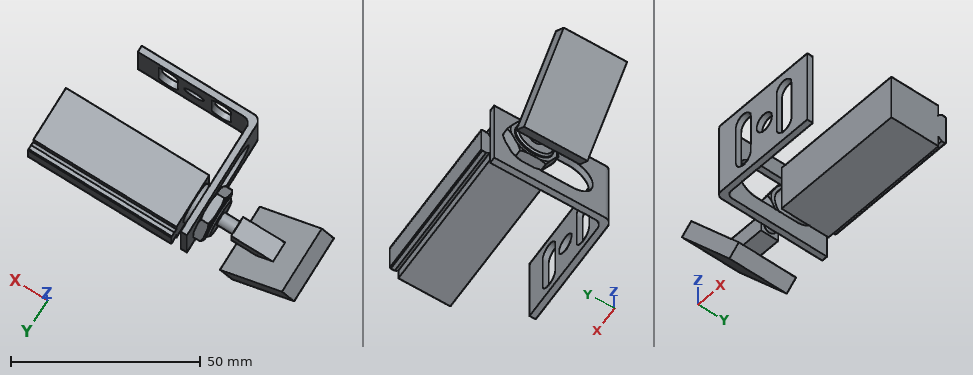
import cadquery as cq
import math


SHEET = 1.95
BRACKET_LEG = 37.0
BRACKET_HEIGHT = 25.0
BEND_RADIUS = SHEET
BRACKET_Y_MIN = -26.5
BRACKET_Y_MAX = BRACKET_Y_MIN + BRACKET_LEG
ADJUST_SLOT_WIDTH = 13.0
ADJUST_SLOT_TRAVEL = 14.0
SLOT_WIDTH = 6.0
SLOT_LENGTH = 19.0
SLOT_SPACING = 16.5
SLOT_PAIR_CENTRE_X = 19.3
ROUND_HOLE_DIAMETER = 6.1
ROUND_HOLE_X = 19.6

HOUSING_X_MIN = 4.0
HOUSING_X_MAX = 48.5
HOUSING_HEIGHT = 15.3
HOUSING_Y_MIN = -7.1
SHOULDER_Y = 9.3
RIB_Y = 12.0
RIB_HEIGHT = 9.95
RIB_CHAMFER = 0.3
GROOVE_WIDTH = 1.15
GROOVE_OUTER_ANGLE = 32
GROOVE_INNER_ANGLE = 45
BUSHING_DIAMETER = 12.0
BUSHING_X_MIN = -4.0
BUSHING_CHAMFER = 0.6

NUT_ACROSS_FLATS = 14.0
NUT_ACROSS_CORNERS = NUT_ACROSS_FLATS / math.cos(math.radians(30))
NUT_THICKNESS = 3.0
NUT_CHAMFER_WIDTH = 0.8
NUT_CHAMFER_DEPTH = 0.4

ROD_DIAMETER = 4.0
BLOCK_SIZE = 6.0
BLOCK_X_MAX = -9.05
PAD_LENGTH = 30.0
PAD_THICKNESS = 5.0
PAD_WIDTH = 20.0
PAD_TILT = 50
PAD_X_MIN = -33.0
PAD_TILT_RADIANS = math.radians(PAD_TILT)
PAD_X_EXTENT = PAD_LENGTH * math.cos(PAD_TILT_RADIANS) + PAD_THICKNESS * math.sin(PAD_TILT_RADIANS)
PAD_CENTRE_X = PAD_X_MIN + PAD_X_EXTENT / 2
PAD_CENTRE_Z = -1.6


def make_bracket():
    inner_y = BRACKET_Y_MIN + SHEET
    bracket = (
        cq.Workplane("XY")
        .workplane(offset=-BRACKET_HEIGHT / 2)
        .moveTo(0, BRACKET_Y_MAX)
        .lineTo(0, BRACKET_Y_MIN)
        .lineTo(BRACKET_LEG, BRACKET_Y_MIN)
        .lineTo(BRACKET_LEG, inner_y)
        .lineTo(SHEET, inner_y)
        .lineTo(SHEET, BRACKET_Y_MAX)
        .close()
        .extrude(BRACKET_HEIGHT)
    )
    for corner in [(0, BRACKET_Y_MIN, 0), (SHEET, inner_y, 0)]:
        bracket = bracket.edges(cq.selectors.NearestToPointSelector(corner)).fillet(BEND_RADIUS)

    adjust_slot = (
        cq.Workplane("YZ")
        .center(-ADJUST_SLOT_TRAVEL / 2, 0)
        .slot2D(ADJUST_SLOT_TRAVEL + ADJUST_SLOT_WIDTH, ADJUST_SLOT_WIDTH)
        .extrude(SHEET)
    )
    slotted_wall = cq.Workplane("XZ", origin=(0, inner_y, 0))
    upright_slots = (
        slotted_wall.pushPoints([(SLOT_PAIR_CENTRE_X + side * SLOT_SPACING / 2, 0) for side in (-1, 1)])
        .slot2D(SLOT_LENGTH, SLOT_WIDTH, 90)
        .extrude(SHEET)
    )
    round_hole = slotted_wall.center(ROUND_HOLE_X, 0).circle(ROUND_HOLE_DIAMETER / 2).extrude(SHEET)
    return bracket.cut(adjust_slot).cut(upright_slots).cut(round_hole)


def make_housing():
    length = HOUSING_X_MAX - HOUSING_X_MIN
    half_height = HOUSING_HEIGHT / 2
    half_rib = RIB_HEIGHT / 2

    slope_width = GROOVE_WIDTH / 2
    groove_bend_z = half_rib - slope_width * math.tan(math.radians(GROOVE_OUTER_ANGLE))
    groove_floor_z = groove_bend_z - slope_width * math.tan(math.radians(GROOVE_INNER_ANGLE))

    upper_half = [
        (HOUSING_Y_MIN, half_height),
        (SHOULDER_Y, half_height),
        (SHOULDER_Y, groove_floor_z),
        (SHOULDER_Y + slope_width, groove_bend_z),
        (SHOULDER_Y + GROOVE_WIDTH, half_rib),
        (RIB_Y, half_rib),
    ]
    lower_half = [(y, -z) for y, z in reversed(upper_half)]
    body = (
        cq.Workplane("YZ", origin=(HOUSING_X_MIN, 0, 0))
        .polyline(upper_half + lower_half)
        .close()
        .extrude(length)
        .faces(">Y")
        .edges("|X")
        .chamfer(RIB_CHAMFER)
    )

    radius = BUSHING_DIAMETER / 2
    bushing = (
        cq.Workplane("XZ")
        .moveTo(BUSHING_X_MIN, 0)
        .lineTo(BUSHING_X_MIN, radius - BUSHING_CHAMFER)
        .lineTo(BUSHING_X_MIN + BUSHING_CHAMFER, radius)
        .lineTo(HOUSING_X_MIN, radius)
        .lineTo(HOUSING_X_MIN, 0)
        .close()
        .revolve(360, (0, 0, 0), (1, 0, 0))
    )
    return body.union(bushing)


def make_nut():
    front = cq.Workplane("YZ", origin=(-NUT_THICKNESS, 0, 0))
    hexagon = front.polygon(6, NUT_ACROSS_CORNERS).extrude(NUT_THICKNESS)
    bevelled_disc = (
        front.circle(NUT_ACROSS_CORNERS / 2)
        .extrude(NUT_THICKNESS)
        .faces("<X or >X")
        .chamfer(NUT_CHAMFER_DEPTH, NUT_CHAMFER_WIDTH)
    )
    bore = front.circle(BUSHING_DIAMETER / 2).extrude(NUT_THICKNESS)
    return hexagon.intersect(bevelled_disc).cut(bore)


def make_rod():
    return (
        cq.Workplane("XZ")
        .moveTo(BLOCK_X_MAX, 0)
        .lineTo(BLOCK_X_MAX, ROD_DIAMETER / 2)
        .lineTo(BUSHING_X_MIN, ROD_DIAMETER / 2)
        .lineTo(BUSHING_X_MIN, 0)
        .close()
        .revolve(360, (0, 0, 0), (1, 0, 0))
    )


def make_pad():
    return (
        cq.Workplane("XY")
        .box(PAD_LENGTH, PAD_WIDTH, PAD_THICKNESS)
        .rotate((0, 0, 0), (0, 1, 0), PAD_TILT)
        .translate((PAD_CENTRE_X, 0, PAD_CENTRE_Z))
    )


def make_block():
    half_size = BLOCK_SIZE / 2
    back_face_x = PAD_CENTRE_X + PAD_THICKNESS / 2 / math.sin(PAD_TILT_RADIANS)

    def pad_face_x(z):
        return back_face_x - (z - PAD_CENTRE_Z) / math.tan(PAD_TILT_RADIANS)

    outline = [
        (pad_face_x(half_size), half_size),
        (BLOCK_X_MAX, half_size),
        (BLOCK_X_MAX, -half_size),
        (pad_face_x(-half_size), -half_size),
    ]
    return cq.Workplane("XZ").polyline(outline).close().extrude(half_size, both=True)


bracket = make_bracket()
housing = make_housing()
nut = make_nut()
rod = make_rod()
block = make_block()
pad = make_pad()

result = cq.Compound.makeCompound(
    [bracket.val(), housing.val(), nut.val(), rod.val(), block.val(), pad.val()]
)